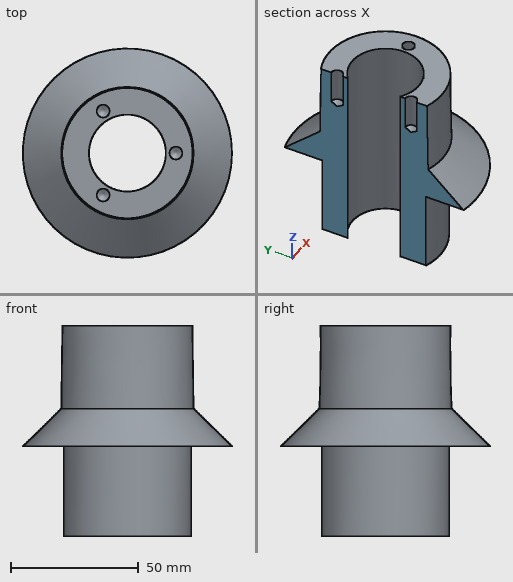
import cadquery as cq
import math

total_height = 82.5
spigot_height = 35.3
skirt_height = 14.8
neck_base_z = spigot_height + skirt_height

spigot_diameter = 50.0
skirt_diameter = 82.0
neck_base_diameter = 51.9
neck_top_diameter = 51.0
bore_diameter = 30.0

hole_count = 3
hole_diameter = 5.0
hole_circle_radius = 19.0
hole_depth = 14.85
drill_point_angle = 118.0


def make_body():
    """Revolve the stepped spigot, conical skirt and tapered neck."""
    profile = (
        cq.Workplane("XZ")
        .moveTo(0, 0)
        .lineTo(spigot_diameter / 2, 0)
        .lineTo(spigot_diameter / 2, spigot_height)
        .lineTo(skirt_diameter / 2, spigot_height)
        .lineTo(neck_base_diameter / 2, neck_base_z)
        .lineTo(neck_top_diameter / 2, total_height)
        .lineTo(0, total_height)
        .close()
    )
    return profile.revolve(360, (0, 0, 0), (0, 1, 0))


def drill_screw_holes(body):
    """Drill evenly spaced blind holes with conical bottoms, the first on +X."""
    radius = hole_diameter / 2
    point_height = radius / math.tan(math.radians(drill_point_angle / 2))
    floor_z = total_height - hole_depth
    drill = (
        cq.Workplane("XZ")
        .moveTo(0, floor_z - point_height)
        .lineTo(radius, floor_z)
        .lineTo(radius, total_height)
        .lineTo(0, total_height)
        .close()
        .revolve(360, (0, 0, 0), (0, 1, 0))
        .translate((hole_circle_radius, 0, 0))
    )
    for index in range(hole_count):
        angle = index * 360 / hole_count
        body = body.cut(drill.rotate((0, 0, 0), (0, 0, 1), angle))
    return body


def cut_bore(body):
    """Cut the central bore right through."""
    bore = cq.Workplane("XY").circle(bore_diameter / 2).extrude(total_height)
    return body.cut(bore)


result = cut_bore(drill_screw_holes(make_body()))